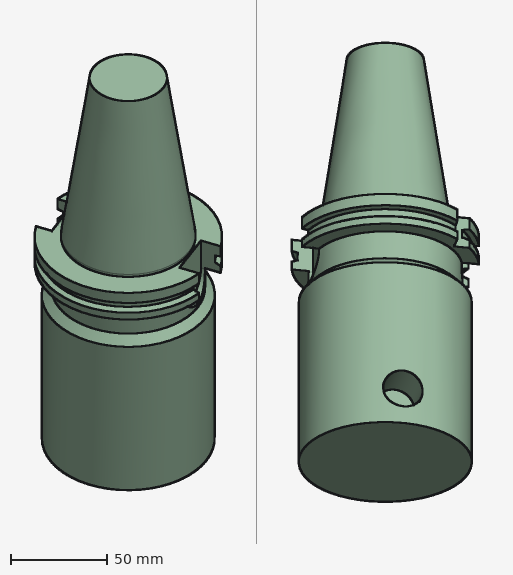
import cadquery as cq

total_height = 234.8

body_radius = 90.0 / 2
neck_radius = 80.0 / 2
neck_bottom = 98.4
shoulder_bottom = neck_bottom - (body_radius - neck_radius)

flange_radius = 97.5 / 2
flange_bottom = 114.0
flange_top = 131.5
groove_radius = 45.5
groove_outer_bottom = 118.5
groove_inner_bottom = 120.0
groove_inner_top = 124.2
groove_outer_top = 125.0

shank_radius = 70.0 / 2
taper_bottom = 133.0
taper_ratio = 7 / 24
shank_top_radius = shank_radius - (total_height - taper_bottom) * taper_ratio / 2

slot_width = 25.8
slot_end_height = 113.6
left_slot_floor = 37.8
right_slot_floor = 35.7

notch_offset = 30.0

screw_diameter = 21.0
screw_height = 20.2
screw_depth = 22.0


def revolved_holder():
    """Body, neck, flange and shank as one solid of revolution about Z."""
    profile = [
        (0, 0),
        (body_radius, 0),
        (body_radius, shoulder_bottom),
        (neck_radius, neck_bottom),
        (neck_radius, flange_bottom),
        (flange_radius, flange_bottom),
        (flange_radius, groove_outer_bottom),
        (groove_radius, groove_inner_bottom),
        (groove_radius, groove_inner_top),
        (flange_radius, groove_outer_top),
        (flange_radius, flange_top),
        (shank_radius, flange_top),
        (shank_radius, taper_bottom),
        (shank_top_radius, total_height),
        (0, total_height),
    ]
    return cq.Workplane("XZ").polyline(profile).close().revolve(360, (0, 0), (0, 1))


def drive_slot(floor, side):
    """U-shaped cutter from the slot floor outward; side is -1 or +1 along X."""
    half_width = slot_width / 2
    return (
        cq.Workplane("YZ", origin=(side * floor, 0, 0))
        .moveTo(-half_width, flange_top)
        .lineTo(-half_width, slot_end_height)
        .threePointArc((0, slot_end_height - half_width), (half_width, slot_end_height))
        .lineTo(half_width, flange_top)
        .close()
        .extrude(side * flange_radius)
    )


def corner_notch():
    """Box removing the flange rim beyond the notch corner toward -X, +Y."""
    return (
        cq.Workplane("XY", origin=(-notch_offset, notch_offset, flange_bottom))
        .rect(-flange_radius, flange_radius, centered=False)
        .extrude(flange_top - flange_bottom)
    )


def screw_hole():
    """Blind radial hole running inward from the +Y side."""
    return (
        cq.Workplane("XZ", origin=(0, body_radius, screw_height))
        .circle(screw_diameter / 2)
        .extrude(screw_depth)
    )


result = (
    revolved_holder()
    .cut(drive_slot(left_slot_floor, -1))
    .cut(drive_slot(right_slot_floor, 1))
    .cut(corner_notch())
    .cut(screw_hole())
)